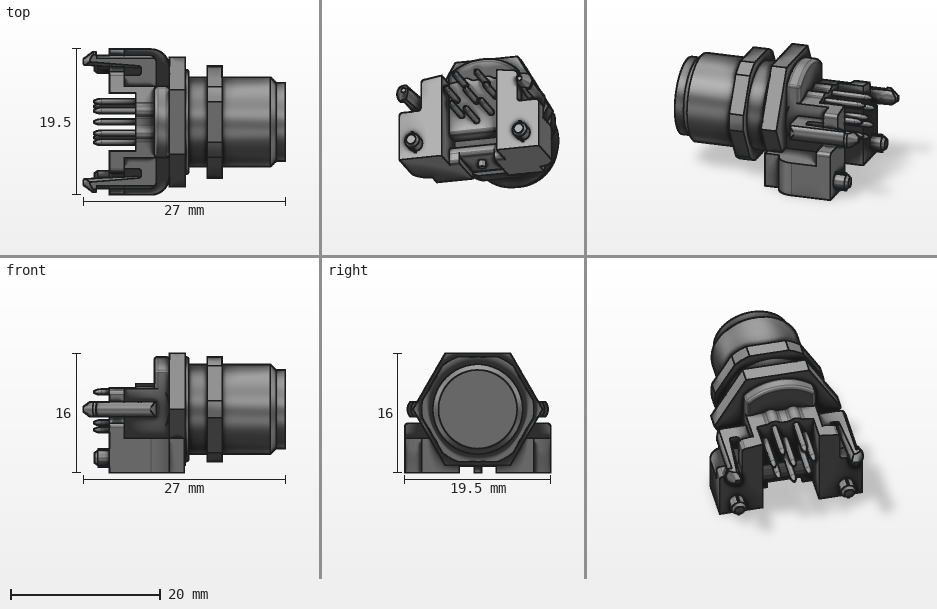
import cadquery as cq
import math


FLANGE_X = 8.0
FLANGE_END_X = 10.15
FLANGE_FLATS = 15.0
SEAL_D = 14.0
SEAL_T = 0.45
SEAL_ROUND = 0.4
BARREL_D = 12.0
NOSE_D = 10.5
BARREL_END_X = 21.5
NOSE_X = BARREL_END_X + (BARREL_D - NOSE_D) / 2
NOSE_END_X = 23.5

NUT_X = 13.05
NUT_T = 2.0
NUT_FLATS = 14.0
NUT_CORNER_D = 15.0

BASE_Z = -8.5
BASE_HALF_W = 9.75
BASE_CORNER_R = 2.5
BASE_END_X = 10.0
TONGUE_HALF_W = 7.5
LEDGE_Z = -3.85
REAR_PLATE_T = 2.0
REAR_SHELF_Z = -1.85
REAR_HALF_W = 6.7
REAR_ROUND = 0.5
CORE_HALF_W = 4.75
CORE_END_X = 7.5
ROOF_Z = 3.04
ROOF_FLAT_HALF_W = 2.65
ROOF_SLOPE = 0.143
CHANNEL_HALF_W = 3.85
BRIDGE_X = 3.5

UNDERCUT_TOP_Z = -4.45
UNDERCUT_END_X = 6.0
BRIDGE_ROUND = 0.53
LIP_TOP_Z = -6.0
LIP_BOTTOM_Z = -7.58
LIP_TOP_ROUND = 1.04
LIP_BOTTOM_ROUND = 0.53
FOOT_INNER_Y = 2.45
FOOT_ROUND = 0.5
KEY_D = 1.0
KEY_X = 6.0

DOME_X = 6.0
DOME_R = 7.0
DOME_CORNER_R = 0.5
DOME_EDGE_R = 0.45
SEAT_LARGE_R = 5.2

CONTACT_D = 0.8
CONTACT_TIP_D = 0.2
CONTACT_TIP_BULGE = 0.08
CONTACT_END_X = -2.1
CONTACT_TAPER = 1.0
CONTACT_CIRCLE_R = 2.75
CONTACT_STEP = 49.0
CONTACT_ROOT_X = BRIDGE_X + 1.0
BOTTOM_ANGLE = -90.0
TOP_CONTACT_ANGLE = BOTTOM_ANGLE + 3 * CONTACT_STEP
BUMP_R = 1.1
BUMP_BLEND = 0.5

PEG_Y = 7.5
PEG_Z = -6.5
PEG_D = 2.0
PEG_LENGTH = 2.0
PEG_CHAMFER_X = 0.45
PEG_CHAMFER_R = 0.35
RIB_W = 0.2
RIB_SPAN = 2.45
RIB_LENGTH = 1.5

CLIP_HALF_H = 1.0
CLIP_TIP_X = -3.5
CLIP_END_X = 6.25
CLIP_CORNER_R = 0.9
CLIP_OUTER_Y = 8.9
CLIP_OUTER_EDGE_Y = 8.5
TIP_INNER_Y = 7.6
TIP_INNER_EDGE_Y = 8.1
SLOT_Y = 6.25
SLOT_END_X = 4.25
SLOT_ROUND = 0.4
ARM_ROOT_X = SLOT_END_X - SLOT_ROUND
ROOT_INNER_Y = 7.25
ROOT_INNER_EDGE_Y = 7.5
HOOK_Y = 9.4
HOOK_CREST_X = -2.2
HOOK_BACK_X = -1.8
HOOK_ROOT_X = -1.68
HOOK_CONE_Y = 8.08
HOOK_TIP_R = 0.33

OVERLAP = 0.2
PICK_MARGIN = 0.1

ARC_MID = math.sqrt(0.5)


def box(x, y, z):
    """Box between pairs of X, Y and Z limits."""
    size = (x[1] - x[0], y[1] - y[0], z[1] - z[0])
    return cq.Workplane("XY").box(*size, centered=False).translate((x[0], y[0], z[0]))


def mirrored(shape):
    """A feature on the +Y side together with its twin on the -Y side."""
    return shape.union(shape.mirror("XZ"))


def rod(diameter, x_start, x_end, y=0.0, z=0.0):
    """Cylinder along X."""
    plane = cq.Workplane("YZ", origin=(x_start, y, z))
    return plane.circle(diameter / 2).extrude(x_end - x_start)


def hex_prism(flats, x_start, thickness):
    """Hexagonal prism along X with flats facing up and down."""
    corner_d = flats / math.cos(math.pi / 6)
    return cq.Workplane("YZ", origin=(x_start, 0, 0)).polygon(6, corner_d).extrude(thickness)


def roof_height(y):
    """Height of the sloped roof at a distance y from the middle."""
    return ROOF_Z - ROOF_SLOPE * (y - ROOF_FLAT_HALF_W)


def roofed_block(half_width, x_start, x_end):
    """Block from the base up to the sloped roof."""
    half_outline = [
        (ROOF_FLAT_HALF_W, ROOF_Z),
        (half_width, roof_height(half_width)),
        (half_width, BASE_Z),
    ]
    other_half = [(-y, z) for y, z in reversed(half_outline)]
    outline = cq.Workplane("YZ", origin=(x_start, 0, 0)).polyline(half_outline + other_half)
    return outline.close().extrude(x_end - x_start)


def make_barrel():
    """Hexagonal flange, rounded seal ring and barrel with a chamfered nose."""
    flange = hex_prism(FLANGE_FLATS, FLANGE_X, FLANGE_END_X - FLANGE_X)
    seal = rod(SEAL_D, FLANGE_END_X, FLANGE_END_X + SEAL_T).faces(">X").edges().fillet(SEAL_ROUND)
    barrel = (
        cq.Workplane("XY")
        .moveTo(FLANGE_X, 0)
        .lineTo(FLANGE_X, BARREL_D / 2)
        .lineTo(BARREL_END_X, BARREL_D / 2)
        .lineTo(NOSE_X, NOSE_D / 2)
        .lineTo(NOSE_END_X, NOSE_D / 2)
        .lineTo(NOSE_END_X, 0)
        .close()
        .revolve(360, (0, 0, 0), (1, 0, 0))
    )
    return flange.union(seal).union(barrel)


def make_base():
    """Wide lower block with rounded front corners and a narrower tongue under the flange."""
    block = box((0, FLANGE_X), (-BASE_HALF_W, BASE_HALF_W), (BASE_Z, LEDGE_Z))
    block = block.edges("|Z and >X").fillet(BASE_CORNER_R)
    tongue = box((CORE_END_X, BASE_END_X), (-TONGUE_HALF_W, TONGUE_HALF_W), (BASE_Z, LEDGE_Z))
    return block.union(tongue)


def make_rear_plate():
    """Stepped rear plate: wide shelf below, narrower roofed part above, rounded corners."""
    plate = roofed_block(REAR_HALF_W, 0, REAR_PLATE_T)
    shelf = box((0, REAR_PLATE_T), (-BASE_HALF_W, BASE_HALF_W), (BASE_Z, REAR_SHELF_Z))
    plate = plate.union(shelf)
    z_low = REAR_SHELF_Z - PICK_MARGIN
    y_inner = REAR_HALF_W - PICK_MARGIN
    y_outer = BASE_HALF_W + PICK_MARGIN
    right_corners = cq.selectors.BoxSelector((0, -y_outer, z_low), (REAR_PLATE_T, -y_inner, ROOF_Z))
    left_corners = cq.selectors.BoxSelector((0, y_inner, z_low), (REAR_PLATE_T, y_outer, ROOF_Z))
    return plate.edges("|X").edges(right_corners + left_corners).fillet(REAR_ROUND)


def make_core():
    """Middle block whose roof swells over the two top contacts."""
    core = roofed_block(CORE_HALF_W, 0, CORE_END_X)
    bump_y = CONTACT_CIRCLE_R * math.cos(math.radians(TOP_CONTACT_ANGLE))
    bump_z = CONTACT_CIRCLE_R * math.sin(math.radians(TOP_CONTACT_ANGLE))
    core = core.union(mirrored(rod(2 * BUMP_R, 0, CORE_END_X, bump_y, bump_z)))
    y_limit = ROOF_FLAT_HALF_W - PICK_MARGIN
    bump_feet = cq.selectors.BoxSelector(
        (0, -y_limit, ROOF_Z - PICK_MARGIN),
        (CORE_END_X, y_limit, ROOF_Z + PICK_MARGIN),
    )
    return core.edges("|X").edges(bump_feet).fillet(BUMP_BLEND)


def make_dome():
    """Rounded hood between the core and the flange."""
    column = box((DOME_X, FLANGE_X), (-CORE_HALF_W, CORE_HALF_W), (LEDGE_Z, DOME_R + OVERLAP))
    below_arc = rod(2 * DOME_R, DOME_X, FLANGE_X)
    dome = column.intersect(below_arc)
    dome = dome.edges("|X and (>Y or <Y)").edges(">Z").fillet(DOME_CORNER_R)
    return dome.faces("<X or >X").edges("not(<Z)").fillet(DOME_EDGE_R)


def make_dome_seat():
    """Cone under the dome that meets its flat sides flush at the flange."""
    seat_x = FLANGE_X - DOME_EDGE_R
    cone = (
        cq.Workplane("XY")
        .polyline([(seat_x, 0), (seat_x, SEAT_LARGE_R), (FLANGE_X, CORE_HALF_W), (FLANGE_X, 0)])
        .close()
        .revolve(360, (0, 0, 0), (1, 0, 0))
    )
    height = (-SEAT_LARGE_R, SEAT_LARGE_R)
    return cone.intersect(box((seat_x, FLANGE_X), (-CORE_HALF_W, CORE_HALF_W), height))


def make_channel():
    """Open space around the contacts, with the undercut between bridge and lip."""
    foot_arc = FOOT_ROUND * ARC_MID
    bridge_arc = BRIDGE_ROUND * ARC_MID
    lip_arc = LIP_TOP_ROUND * ARC_MID
    top_z = DOME_R
    lip_face_z = LIP_TOP_Z - LIP_TOP_ROUND
    bridge_center = (BRIDGE_X + BRIDGE_ROUND, UNDERCUT_TOP_Z + BRIDGE_ROUND)
    lip_center = (BRIDGE_X + LIP_TOP_ROUND, lip_face_z)
    foot_center = (BRIDGE_X + FOOT_ROUND, BASE_Z + FOOT_ROUND)
    outline = (
        cq.Workplane("XZ", origin=(0, CHANNEL_HALF_W, 0))
        .moveTo(-OVERLAP, top_z)
        .lineTo(BRIDGE_X, top_z)
        .lineTo(BRIDGE_X, bridge_center[1])
        .threePointArc(
            (bridge_center[0] - bridge_arc, bridge_center[1] - bridge_arc),
            (bridge_center[0], UNDERCUT_TOP_Z),
        )
        .lineTo(UNDERCUT_END_X, UNDERCUT_TOP_Z)
        .lineTo(UNDERCUT_END_X, LIP_TOP_Z)
        .lineTo(lip_center[0], LIP_TOP_Z)
        .threePointArc((lip_center[0] - lip_arc, lip_center[1] + lip_arc), (BRIDGE_X, lip_face_z))
        .lineTo(BRIDGE_X, foot_center[1])
        .threePointArc(
            (foot_center[0] - foot_arc, foot_center[1] - foot_arc),
            (foot_center[0], BASE_Z),
        )
        .lineTo(-OVERLAP, BASE_Z)
        .close()
    )
    return outline.extrude(2 * CHANNEL_HALF_W)


def make_foot_gap():
    """Gap between the feet, leaving the lip above it with a rounded lower edge."""
    corner_arc = LIP_BOTTOM_ROUND * ARC_MID
    center = (BRIDGE_X + LIP_BOTTOM_ROUND, LIP_BOTTOM_Z + LIP_BOTTOM_ROUND)
    outline = (
        cq.Workplane("XZ", origin=(0, FOOT_INNER_Y, 0))
        .moveTo(BRIDGE_X, BASE_Z)
        .lineTo(BRIDGE_X, center[1])
        .threePointArc((center[0] - corner_arc, center[1] - corner_arc), (center[0], LIP_BOTTOM_Z))
        .lineTo(BASE_END_X, LIP_BOTTOM_Z)
        .lineTo(BASE_END_X, BASE_Z)
        .close()
    )
    return outline.extrude(2 * FOOT_INNER_Y)


def make_key():
    """Small upright post between the feet."""
    post = cq.Workplane("XY", origin=(KEY_X, 0, BASE_Z)).circle(KEY_D / 2)
    return post.extrude(LIP_BOTTOM_Z - BASE_Z + OVERLAP)


def make_contact(y, z):
    """Contact pin along X with a bullet-shaped tip."""
    shoulder_x = CONTACT_END_X + CONTACT_TAPER
    middle_r = (CONTACT_D + CONTACT_TIP_D) / 4 + CONTACT_TIP_BULGE
    pin = (
        cq.Workplane("XY")
        .moveTo(CONTACT_END_X, 0)
        .lineTo(CONTACT_END_X, CONTACT_TIP_D / 2)
        .threePointArc((CONTACT_END_X + CONTACT_TAPER / 2, middle_r), (shoulder_x, CONTACT_D / 2))
        .lineTo(CONTACT_ROOT_X, CONTACT_D / 2)
        .lineTo(CONTACT_ROOT_X, 0)
        .close()
        .revolve(360, (0, 0, 0), (1, 0, 0))
    )
    return pin.translate((0, y, z))


def contact_places():
    """Centre contact, then seven on a circle spread evenly about the bottom one."""
    places = [(0, 0)]
    for step in range(-3, 4):
        angle = math.radians(BOTTOM_ANGLE + step * CONTACT_STEP)
        places.append((CONTACT_CIRCLE_R * math.cos(angle), CONTACT_CIRCLE_R * math.sin(angle)))
    return places


def make_peg():
    """Locating peg with a chamfered end and a thin crush rib above and below."""
    peg = rod(PEG_D, -PEG_LENGTH, OVERLAP, PEG_Y, PEG_Z)
    peg = peg.faces("<X").edges().chamfer(PEG_CHAMFER_X, PEG_CHAMFER_R)
    rib = box(
        (-RIB_LENGTH, OVERLAP),
        (PEG_Y - RIB_W / 2, PEG_Y + RIB_W / 2),
        (PEG_Z - RIB_SPAN / 2, PEG_Z + RIB_SPAN / 2),
    )
    return peg.union(rib)


def lens_wire(x, inner_edge_y, inner_y, outer_edge_y, outer_y):
    """Clip cross-section: flat top and bottom, bulging inner and outer sides."""
    return (
        cq.Workplane("YZ", origin=(x, 0, 0))
        .moveTo(inner_edge_y, -CLIP_HALF_H)
        .lineTo(outer_edge_y, -CLIP_HALF_H)
        .threePointArc((outer_y, 0), (outer_edge_y, CLIP_HALF_H))
        .lineTo(inner_edge_y, CLIP_HALF_H)
        .threePointArc((inner_y, 0), (inner_edge_y, -CLIP_HALF_H))
        .close()
    )


def side_profile(edge_y, crest_y, x_start, x_end):
    """Bar along X whose outer side bulges from edge_y at its rims to crest_y at mid height."""
    wire = lens_wire(x_start, edge_y / 2, edge_y / 2 - OVERLAP, edge_y, crest_y)
    return wire.extrude(x_end - x_start)


def make_clip_web():
    """Plate that carries the spring arm, with the slot that frees the arm."""
    height = (-CLIP_HALF_H, CLIP_HALF_H)
    web = box((REAR_PLATE_T, CLIP_END_X), (CORE_HALF_W - OVERLAP, CLIP_OUTER_Y), height)
    web = web.edges("|Z and >X and >Y").fillet(CLIP_CORNER_R)
    web = web.intersect(side_profile(CLIP_OUTER_EDGE_Y, CLIP_OUTER_Y, REAR_PLATE_T, CLIP_END_X))
    slot = box((0, SLOT_END_X), (SLOT_Y, ROOT_INNER_EDGE_Y), height)
    slot = slot.edges("|Z and >X").fillet(SLOT_ROUND)
    beside_arm = box((0, ARM_ROOT_X), (SLOT_Y, CLIP_OUTER_Y), height)
    return web.cut(slot).cut(beside_arm)


def make_clip_arm():
    """Spring arm that grows thinner towards its tip, with a barb and a conical nose."""
    outer = (CLIP_OUTER_EDGE_Y, CLIP_OUTER_Y)
    tip = lens_wire(CLIP_TIP_X, TIP_INNER_EDGE_Y, TIP_INNER_Y, *outer).val()
    root = lens_wire(ARM_ROOT_X, ROOT_INNER_EDGE_Y, ROOT_INNER_Y, *outer).val()
    arm = cq.Workplane(cq.Solid.makeLoft([tip, root], True))

    hook_inner_y = (TIP_INNER_EDGE_Y + CLIP_OUTER_EDGE_Y) / 2
    hook = (
        cq.Workplane("XY", origin=(0, 0, -CLIP_HALF_H))
        .moveTo(CLIP_TIP_X, hook_inner_y)
        .lineTo(CLIP_TIP_X, HOOK_Y)
        .lineTo(HOOK_BACK_X, HOOK_Y)
        .lineTo(HOOK_ROOT_X, CLIP_OUTER_EDGE_Y)
        .lineTo(HOOK_ROOT_X, hook_inner_y)
        .close()
        .extrude(2 * CLIP_HALF_H)
    )
    hook_edge_y = HOOK_Y - (CLIP_OUTER_Y - CLIP_OUTER_EDGE_Y)
    hook = hook.intersect(side_profile(hook_edge_y, HOOK_Y, CLIP_TIP_X, HOOK_ROOT_X))

    nose_slope = (HOOK_Y - HOOK_CONE_Y - HOOK_TIP_R) / (HOOK_CREST_X - CLIP_TIP_X)
    cone_end_r = HOOK_TIP_R + nose_slope * (ARM_ROOT_X - CLIP_TIP_X)
    nose_cone = cq.Workplane(
        cq.Solid.makeCone(
            HOOK_TIP_R,
            cone_end_r,
            ARM_ROOT_X - CLIP_TIP_X,
            pnt=cq.Vector(CLIP_TIP_X, HOOK_CONE_Y, 0),
            dir=cq.Vector(1, 0, 0),
        )
    )
    return arm.union(hook).intersect(nose_cone)


def make_connector():
    """Housing, contacts, clips, flange and barrel as one solid."""
    housing = make_base().union(make_rear_plate()).union(make_core()).union(make_dome())
    housing = housing.cut(make_channel()).cut(make_foot_gap())
    housing = housing.union(make_dome_seat()).union(make_key())
    for y, z in contact_places():
        housing = housing.union(make_contact(y, z))
    for side_feature in (make_peg(), make_clip_web().union(make_clip_arm())):
        housing = housing.union(mirrored(side_feature))
    return housing.union(make_barrel())


def make_nut():
    """Hexagonal nut with its corners turned off, bored to fit the barrel."""
    nut = hex_prism(NUT_FLATS, NUT_X, NUT_T).intersect(rod(NUT_CORNER_D, NUT_X, NUT_X + NUT_T))
    return nut.cut(rod(BARREL_D, NUT_X, NUT_X + NUT_T))


connector = make_connector()
nut = make_nut()
result = cq.Compound.makeCompound([connector.solids().val(), nut.solids().val()])